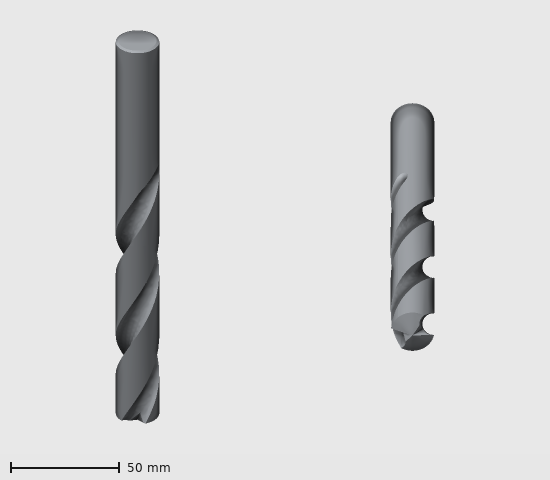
import cadquery as cq
import math

LENGTH = 205.0
DIAMETER = 20.0
RADIUS = DIAMETER / 2
JOINT_Z = 99.8

CHAMFER_WIDTH = 1.2
CHAMFER_HEIGHT = 0.6

POINT_ANGLE = 140.0
POINT_HEIGHT = RADIUS / math.tan(math.radians(POINT_ANGLE / 2))

FLUTE_COUNT = 2
HELIX_ANGLE = 30.0
LEAD = math.pi * DIAMETER / math.tan(math.radians(HELIX_ANGLE))
FLUTE_RADIUS = 6.2
FLUTE_OFFSET = 10.7
FLUTE_TOP_Z = 129.0
FLUTE_TOP_ANGLE = 160.0
FLUTE_OVERRUN = 2.0
RUNOUT_LEAN = 18.0
RUNOUT_CLIMB = 48.0
RUNOUT_LENGTH = 30.8

GASH_DIRECTION = -44.0
GASH_CLIMB = 54.0
GASH_OPENING = 84.0
GASH_FACING = -72.0
GASH_DEPTH = 6.2
GASH_LENGTH = 10.2
GASH_OVERRUN = 2.0


def inclined_direction(angle, climb):
    """Unit vector with a plan angle about Z and a climb above the level plane."""
    turn = math.radians(angle)
    tilt = math.radians(climb)
    return cq.Vector(
        math.cos(tilt) * math.cos(turn), math.cos(tilt) * math.sin(turn), math.sin(tilt)
    )


def blank():
    """Full drill outline without flutes, turned about Z."""
    return (
        cq.Workplane("XZ")
        .moveTo(0, 0)
        .lineTo(RADIUS, POINT_HEIGHT)
        .lineTo(RADIUS, LENGTH - CHAMFER_HEIGHT)
        .lineTo(RADIUS - CHAMFER_WIDTH, LENGTH)
        .lineTo(0, LENGTH)
        .close()
        .revolve(360, (0, 0, 0), (0, 1, 0))
    )


def flute_section(height, angle):
    """Round flute section in a level plane, placed around the drill axis."""
    turn = math.radians(angle)
    return (
        cq.Workplane("XY", origin=(0, 0, height))
        .center(FLUTE_OFFSET * math.cos(turn), FLUTE_OFFSET * math.sin(turn))
        .circle(FLUTE_RADIUS)
    )


def helical_flute(top_angle):
    """Right-hand helical cutter from below the point up to the runout."""
    height = FLUTE_TOP_Z + FLUTE_OVERRUN
    twist = 360 * height / LEAD
    section = flute_section(-FLUTE_OVERRUN, top_angle - twist).wires().val()
    return cq.Workplane(
        cq.Solid.extrudeLinearWithRotation(
            section, [], cq.Vector(0, 0, -FLUTE_OVERRUN), cq.Vector(0, 0, height), twist
        )
    )


def flute_runout(top_angle):
    """Straight cutter that leaves the drill on a line leaning outward."""
    direction = inclined_direction(top_angle + 90 - RUNOUT_LEAN, RUNOUT_CLIMB)
    section = flute_section(FLUTE_TOP_Z, top_angle).wires().val()
    return cq.Workplane(cq.Solid.extrudeLinear(section, [], direction * RUNOUT_LENGTH))


def web_gash(turn):
    """V cutter whose root line climbs from the point into a flute wall."""
    root = inclined_direction(GASH_DIRECTION + turn, GASH_CLIMB)
    facing = inclined_direction(GASH_FACING + turn, 0)
    opening = facing - root * facing.dot(root)
    half_width = GASH_DEPTH * math.tan(math.radians(GASH_OPENING / 2))
    return (
        cq.Workplane(cq.Plane(root * -GASH_OVERRUN, xDir=opening, normal=root))
        .polyline([(0, 0), (GASH_DEPTH, -half_width), (GASH_DEPTH, half_width)])
        .close()
        .extrude(GASH_OVERRUN + GASH_LENGTH)
    )


def fluted_drill():
    drill = blank()
    for index in range(FLUTE_COUNT):
        turn = index * 360 / FLUTE_COUNT
        top_angle = FLUTE_TOP_ANGLE + turn
        drill = drill.cut(helical_flute(top_angle))
        drill = drill.cut(flute_runout(top_angle))
        drill = drill.cut(web_gash(turn))
    return drill


def slice_between(drill, bottom, top):
    """Part of the drill between two heights."""
    slab = (
        cq.Workplane("XY", origin=(0, 0, bottom))
        .rect(2 * DIAMETER, 2 * DIAMETER)
        .extrude(top - bottom)
    )
    return drill.intersect(slab)


drill = fluted_drill()
shank = slice_between(drill, JOINT_Z, LENGTH)
cutting_end = slice_between(drill, 0, JOINT_Z)

result = cq.Compound.makeCompound([shank.solids().val(), cutting_end.solids().val()])